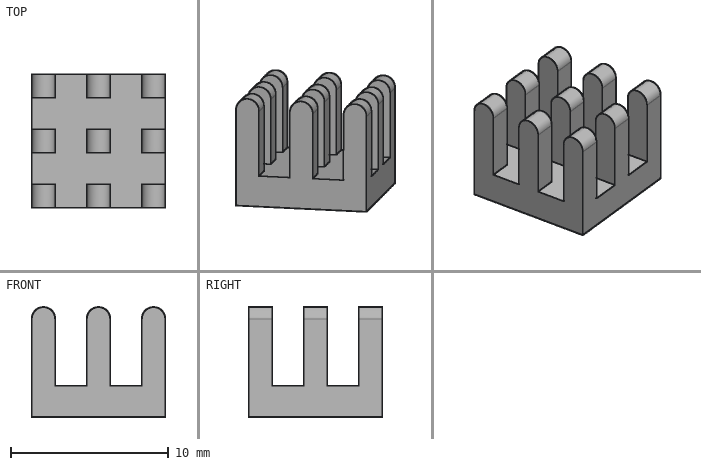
import cadquery as cq

pins_per_side = 3
pin_width = 1.5
channel_width = 2.0
base_thickness = 2.0
total_height = 7.0

pitch = pin_width + channel_width
base_side = pins_per_side * pin_width + (pins_per_side - 1) * channel_width
tip_radius = pin_width / 2
tip_start = total_height - tip_radius


def make_base():
    """Square plate centred on the Z axis with its underside at Z = 0."""
    return cq.Workplane("XY").box(base_side, base_side, base_thickness, centered=(True, True, False))


def make_pin():
    """Square pin centred on the Z axis, with a half-round tip running along Y."""
    return (
        cq.Workplane("XZ", origin=(0, pin_width / 2, 0))
        .moveTo(-tip_radius, 0)
        .lineTo(tip_radius, 0)
        .lineTo(tip_radius, tip_start)
        .threePointArc((0, total_height), (-tip_radius, tip_start))
        .close()
        .extrude(pin_width)
    )


def make_heat_sink():
    """Base plate carrying a square grid of pins, the outer ones flush with its sides."""
    body = make_base()
    pin = make_pin()
    first_pin = -pitch * (pins_per_side - 1) / 2
    for column in range(pins_per_side):
        for row in range(pins_per_side):
            position = (first_pin + column * pitch, first_pin + row * pitch, 0)
            body = body.union(pin.translate(position))
    return body


result = make_heat_sink()